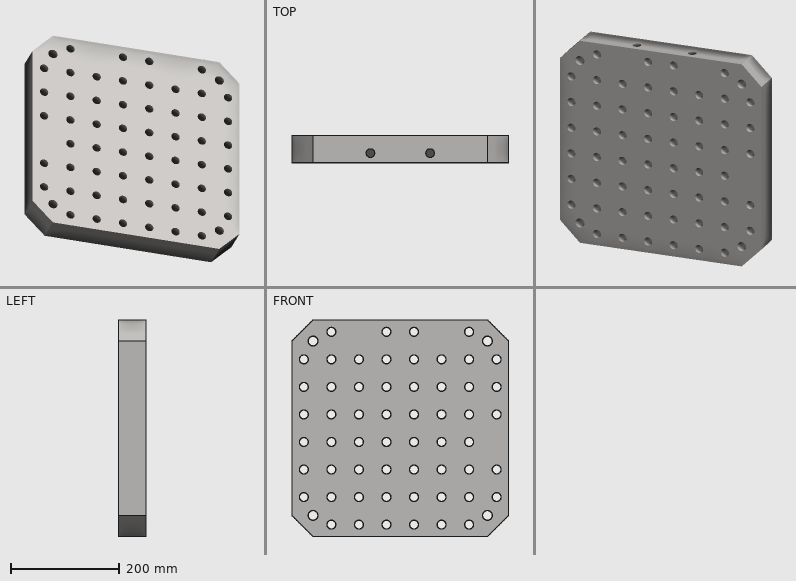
import cadquery as cq

side = 400.0
thickness = 51.0
corner_cut = 39.0

pitch = 51.0
grid_count = 8
grid_hole_diameter = 16.0
last = grid_count - 1
corner_cells = {(0, 0), (0, last), (last, 0), (last, last)}
empty_cells = corner_cells | {(2, last), (5, last), (last, 3)}

corner_hole_diameter = 17.5
corner_hole_offset = 161.0

edge_hole_diameter = 16.0
edge_hole_spacing = 110.0
edge_hole_y = -7.0
edge_hole_depth = 40.0


def make_plate():
    return cq.Workplane("XY").box(side, thickness, side).edges("|Y").chamfer(corner_cut)


def through_holes(points, diameter):
    """Cylinders along Y through the full thickness at the given (x, z) points."""
    return (
        cq.Workplane("XZ")
        .pushPoints(points)
        .circle(diameter / 2)
        .extrude(thickness, both=True)
    )


def grid_points():
    first = -pitch * last / 2
    return [
        (first + column * pitch, first + row * pitch)
        for column in range(grid_count)
        for row in range(grid_count)
        if (column, row) not in empty_cells
    ]


def corner_points():
    return [
        (x_sign * corner_hole_offset, z_sign * corner_hole_offset)
        for x_sign in (-1, 1)
        for z_sign in (-1, 1)
    ]


def edge_holes():
    """Flat-bottomed cylinders running down from the +Z edge."""
    return (
        cq.Workplane("XY", origin=(0, edge_hole_y, side / 2))
        .pushPoints([(-edge_hole_spacing / 2, 0), (edge_hole_spacing / 2, 0)])
        .circle(edge_hole_diameter / 2)
        .extrude(-edge_hole_depth)
    )


result = (
    make_plate()
    .cut(through_holes(grid_points(), grid_hole_diameter))
    .cut(through_holes(corner_points(), corner_hole_diameter))
    .cut(edge_holes())
)